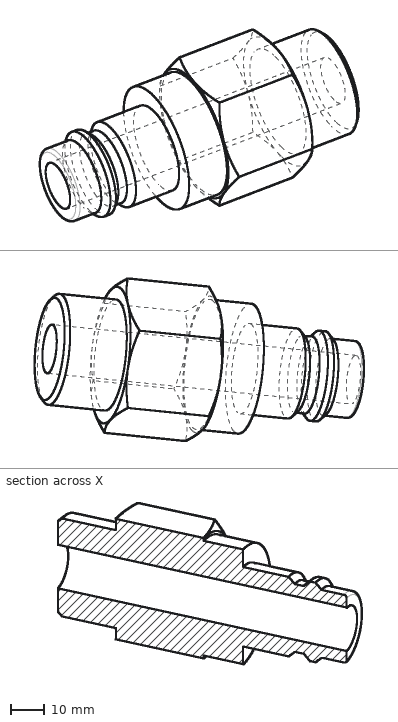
import cadquery as cq
import math

total_length = 95.0
bore_diameter = 14.6

plug_diameter = 27.2
neck_diameter = 23.2
tip_length = 8.3
tip_fillet = 0.95
ridge_ramp = 2.0
ridge_flat = 1.9
groove_length = 2.9
shoulder_ramp = 2.0
plug_length = 34.0

collar_diameter = 39.1
collar_length = 13.0
hex_flats = 41.0
hex_length = 29.0
hex_chamfer_angle = 30.0
spigot_diameter = 33.4
spigot_chamfer = 1.3

ridge_front = tip_length + ridge_ramp
ridge_back = ridge_front + ridge_flat
groove_start = ridge_back + ridge_ramp
groove_end = groove_start + groove_length
hex_start = plug_length + collar_length
hex_end = hex_start + hex_length


def revolve_profile(points):
    """Turn a (radius, axial station) outline about the Y axis."""
    outline = cq.Workplane("XY").polyline(points).close()
    return outline.revolve(360, (0, 0, 0), (0, 1, 0))


def make_turned_body():
    """Plug, collar and spigot as one stepped shaft, rounded at the tip."""
    plug = plug_diameter / 2
    neck = neck_diameter / 2
    collar = collar_diameter / 2
    spigot = spigot_diameter / 2
    shaft = revolve_profile([
        (0, 0),
        (neck, 0),
        (neck, tip_length),
        (plug, ridge_front),
        (plug, ridge_back),
        (neck, groove_start),
        (neck, groove_end),
        (plug, groove_end + shoulder_ramp),
        (plug, plug_length),
        (collar, plug_length),
        (collar, hex_start),
        (spigot, hex_start),
        (spigot, total_length - spigot_chamfer),
        (spigot - spigot_chamfer, total_length),
        (0, total_length),
    ])
    return shaft.faces("<Y").edges().fillet(tip_fillet)


def make_hexagon():
    """Hexagon with corners on +X and -X, its corners bevelled at both ends."""
    corner = hex_flats / 2 / math.cos(math.radians(30))
    bevel_depth = (corner - hex_flats / 2) * math.tan(math.radians(hex_chamfer_angle))
    prism = (
        cq.Workplane("XZ", origin=(0, hex_start, 0))
        .polygon(6, 2 * corner)
        .extrude(-hex_length)
    )
    bevel_envelope = revolve_profile([
        (0, hex_start),
        (hex_flats / 2, hex_start),
        (corner, hex_start + bevel_depth),
        (corner, hex_end - bevel_depth),
        (hex_flats / 2, hex_end),
        (0, hex_end),
    ])
    return prism.intersect(bevel_envelope)


def make_bore():
    """Straight passage through the whole length."""
    return cq.Workplane("XZ").circle(bore_diameter / 2).extrude(-total_length)


result = make_turned_body().union(make_hexagon()).cut(make_bore())